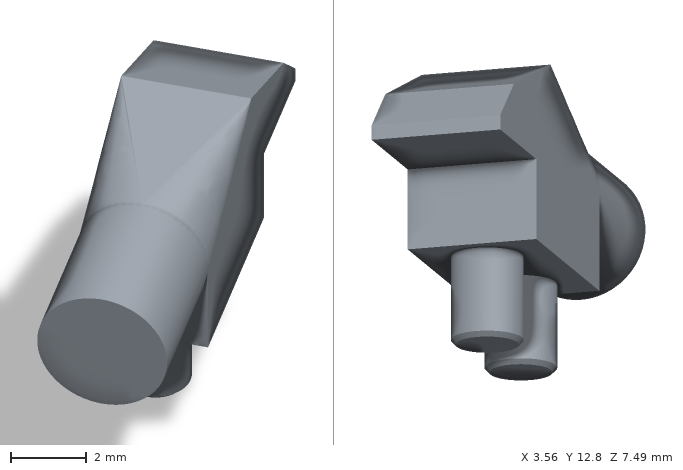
import cadquery as cq

width = 3.56
length = 12.85
height = 7.49

shank_radius = width / 2
shank_length = 4.09
shank_z = 5.11

body_bottom = 2.4
body_back = 9.66
ridge_y = 8.4
nose_bottom = 4.59
nose_tip_top = 4.99
nose_slope_y = 11.64
nose_slope_z = 6.14

pin_radius = 0.96
pin_chamfer = 0.13
first_pin_y = 5.33
pin_spacing = 2.98
pin_count = 2


def make_body():
    """Side profile of the body and nose, extruded across the width."""
    return (
        cq.Workplane("YZ")
        .moveTo(shank_length, body_bottom)
        .lineTo(body_back, body_bottom)
        .lineTo(body_back, nose_bottom)
        .lineTo(length, nose_bottom)
        .lineTo(length, nose_tip_top)
        .lineTo(nose_slope_y, nose_slope_z)
        .lineTo(ridge_y, height)
        .lineTo(shank_length, shank_z)
        .close()
        .extrude(width / 2, both=True)
    )


def make_shank():
    return (
        cq.Workplane("XZ")
        .center(0, shank_z)
        .circle(shank_radius)
        .extrude(-shank_length)
    )


def make_cone(base, apex):
    """Solid running straight from a closed base wire to an apex point."""
    return cq.occ_impl.shapes.loft(base, cq.Vertex.makeVertex(*apex.toTuple()), cap=True, ruled=True)


def make_transition():
    """Blend from the ridge to the shank: a flat triangle between two corner cones."""
    center = cq.Vector(0, shank_length, shank_z)
    crown = center + cq.Vector(0, 0, shank_radius)
    left_ridge = cq.Vector(-width / 2, ridge_y, height)
    right_ridge = cq.Vector(width / 2, ridge_y, height)

    middle_base = cq.Wire.makePolygon([center, crown, left_ridge], close=True)
    blend = cq.Workplane(obj=make_cone(middle_base, right_ridge))
    for side, ridge_corner in ((-1, left_ridge), (1, right_ridge)):
        sector = (
            cq.Workplane("XZ", origin=center.toTuple())
            .lineTo(side * shank_radius, 0)
            .radiusArc((0, shank_radius), -side * shank_radius)
            .close()
            .wires()
            .val()
        )
        blend = blend.union(cq.Workplane(obj=make_cone(sector, ridge_corner)))
    return blend


def make_pin(y):
    """Pin with a chamfered tip, hanging from the underside of the body."""
    return (
        cq.Workplane("XY")
        .center(0, y)
        .circle(pin_radius)
        .extrude(body_bottom)
        .faces("<Z")
        .chamfer(pin_chamfer)
    )


result = make_body().union(make_transition()).union(make_shank())
for pin_index in range(pin_count):
    result = result.union(make_pin(first_pin_y + pin_index * pin_spacing))